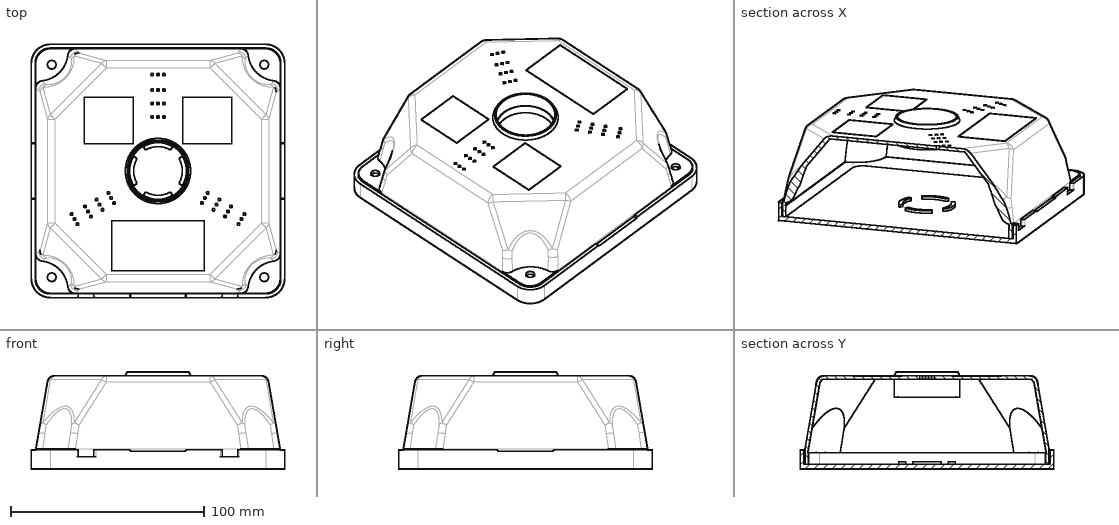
import cadquery as cq
import math

SIDE = 131.2
TRAY_HEIGHT = 10.0
TRAY_CORNER_RADIUS = 10.0
FLOOR_THICKNESS = 2.6
RIM_THICKNESS = 2.0
RIM_DIP_HALF_WIDTH = 14.7
RIM_DIP_DEPTH = 0.7
CLIP_SLOT_OUTER_X = 41.3
CLIP_SLOT_INNER_X = 33.3
CLIP_SLOT_FLOOR_Z = 6.4
CLIP_SLOT_INNER_ROUND = 1.2
CLIP_SLOT_OUTER_ROUND = 0.5
RIB_INNER_RADIUS = 12.6
RIB_OUTER_RADIUS = 14.7
RIB_HALF_ANGLE = 31.0
RIB_HEIGHT = 1.3
RIB_ROUND = 0.7
RIB_COUNT = 4

COVER_GAP = 0.4
COVER_WALL = 2.0
FLANGE_TOP_Z = 10.5
COVER_TOP_Z = 48.4
SIDE_DRAFT = 9.8
CORNER_DRAFT = 29.7
CORNER_TOP_DISTANCE = 59.0
EDGE_RADIUS = 4.0
RECESS_AXIS = 61.5
RECESS_RADIUS = 15.0
SCREW_AXIS = 55.0
SCREW_HOLE_DIAMETER = 4.5

COLLAR_TOP_Z = 50.4
COLLAR_BASE_RADIUS = 16.9
COLLAR_TOP_RADIUS = 16.0
BORE_DIAMETER = 30.0
MOUTH_RADIUS = 15.2
MOUTH_FLOOR_Z = 42.1
TUBE_BOTTOM_Z = 37.3

VENT_DIAMETER = 1.3
VENT_SPACING = 3.0
VENT_RADII = (28.0, 34.9, 41.9, 49.9)
VENT_GROUPS = 3

LABEL_DEPTH = 0.1
SQUARE_LABEL = (25.6, 26.1, 25.3, 24.1)
WIDE_LABEL = (0.0, -38.7, 47.8, 25.7)

HALF_SIDE = SIDE / 2
RIM_INNER_HALF = HALF_SIDE - RIM_THICKNESS
RIM_INNER_RADIUS = TRAY_CORNER_RADIUS - RIM_THICKNESS
COVER_HALF = RIM_INNER_HALF - COVER_GAP
COVER_CORNER_RADIUS = RIM_INNER_RADIUS - COVER_GAP
PLATE_BOTTOM_Z = FLANGE_TOP_Z - COVER_WALL
QUARTER_TURNS = (0, 90, 180, 270)


def rounded_slab(half, corner_radius, bottom_z, top_z):
    """Square plate with rounded vertical edges."""
    slab = cq.Workplane("XY", origin=(0, 0, bottom_z)).rect(2 * half, 2 * half).extrude(top_z - bottom_z)
    return slab.edges("|Z").fillet(corner_radius)


def cylinder(radius, bottom_z, top_z):
    return cq.Workplane("XY", origin=(0, 0, bottom_z)).circle(radius).extrude(top_z - bottom_z)


def cone(bottom_radius, top_radius, bottom_z, top_z):
    """Round frustum about the Z axis."""
    profile = [(0, bottom_z), (bottom_radius, bottom_z), (top_radius, top_z), (0, top_z)]
    return cq.Workplane("XZ").polyline(profile).close().revolve(360, (0, 0), (0, 1))


def square_frustum(bottom_half, top_half, bottom_z, top_z):
    return (
        cq.Workplane("XY", origin=(0, 0, bottom_z))
        .rect(2 * bottom_half, 2 * bottom_half)
        .workplane(offset=top_z - bottom_z)
        .rect(2 * top_half, 2 * top_half)
        .loft(ruled=True)
    )



def rim_dip():
    """Shallow dip with 45 degree ends, across the rim on the -Y side."""
    bottom_half = RIM_DIP_HALF_WIDTH - RIM_DIP_DEPTH
    bottom_z = TRAY_HEIGHT - RIM_DIP_DEPTH
    profile = [
        (-RIM_DIP_HALF_WIDTH, TRAY_HEIGHT),
        (-bottom_half, bottom_z),
        (bottom_half, bottom_z),
        (RIM_DIP_HALF_WIDTH, TRAY_HEIGHT),
    ]
    return cq.Workplane("XZ", origin=(0, -RIM_INNER_HALF, 0)).polyline(profile).close().extrude(RIM_THICKNESS)


def clip_slot():
    """Slot through the -Y rim on the -X half; both ends flare out in a round at the outer face."""
    inner_flare = CLIP_SLOT_INNER_X - CLIP_SLOT_INNER_ROUND
    outer_flare = CLIP_SLOT_OUTER_X + CLIP_SLOT_OUTER_ROUND
    return (
        cq.Workplane("XY", origin=(0, 0, CLIP_SLOT_FLOOR_Z))
        .moveTo(-CLIP_SLOT_OUTER_X, -RIM_INNER_HALF)
        .lineTo(-CLIP_SLOT_INNER_X, -RIM_INNER_HALF)
        .lineTo(-CLIP_SLOT_INNER_X, -HALF_SIDE + CLIP_SLOT_INNER_ROUND)
        .radiusArc((-inner_flare, -HALF_SIDE), -CLIP_SLOT_INNER_ROUND)
        .lineTo(-outer_flare, -HALF_SIDE)
        .radiusArc((-CLIP_SLOT_OUTER_X, -HALF_SIDE + CLIP_SLOT_OUTER_ROUND), -CLIP_SLOT_OUTER_ROUND)
        .close()
        .extrude(TRAY_HEIGHT - CLIP_SLOT_FLOOR_Z)
    )


def floor_rib():
    """Curved rib on the tray floor, centred on the +X axis."""
    top_z = FLOOR_THICKNESS + RIB_HEIGHT
    ring = cylinder(RIB_OUTER_RADIUS, FLOOR_THICKNESS, top_z).cut(
        cylinder(RIB_INNER_RADIUS, FLOOR_THICKNESS, top_z)
    )
    reach = 2 * RIB_OUTER_RADIUS
    spread = reach * math.tan(math.radians(RIB_HALF_ANGLE))
    sector = (
        cq.Workplane("XY", origin=(0, 0, FLOOR_THICKNESS))
        .polyline([(0, 0), (reach, -spread), (reach, spread)])
        .close()
        .extrude(RIB_HEIGHT)
    )
    return ring.intersect(sector).edges("|Z").fillet(RIB_ROUND)


def make_tray():
    tray = rounded_slab(HALF_SIDE, TRAY_CORNER_RADIUS, 0, TRAY_HEIGHT)
    tray = tray.cut(rounded_slab(RIM_INNER_HALF, RIM_INNER_RADIUS, FLOOR_THICKNESS, TRAY_HEIGHT))
    for turn in (-90, 0, 90):
        tray = tray.cut(rim_dip().rotate((0, 0, 0), (0, 0, 1), turn))
    tray = tray.cut(clip_slot()).cut(clip_slot().mirror("YZ"))
    for index in range(RIB_COUNT):
        tray = tray.union(floor_rib().rotate((0, 0, 0), (0, 0, 1), index * 360 / RIB_COUNT))
    return tray



def dome(inset, bottom_z):
    """Drafted square block with sloped corners and a round recess at the foot of each corner.

    Every face lies the distance `inset` inside the outer face of the cover.
    """
    top_z = COVER_TOP_Z - inset
    side_slope = math.tan(math.radians(SIDE_DRAFT))
    side_inset = inset / math.cos(math.radians(SIDE_DRAFT))
    corner_slope = math.tan(math.radians(CORNER_DRAFT))
    corner_inset = inset / math.cos(math.radians(CORNER_DRAFT))

    def side_half(z):
        return COVER_HALF - side_inset - (z - FLANGE_TOP_Z) * side_slope

    def corner_distance(z):
        return CORNER_TOP_DISTANCE - corner_inset + (COVER_TOP_Z - z) * corner_slope

    def recess_radius(z):
        return RECESS_RADIUS + side_inset + (z - FLANGE_TOP_Z) * side_slope

    block = square_frustum(side_half(bottom_z), side_half(top_z), bottom_z, top_z)
    corners = square_frustum(corner_distance(bottom_z), corner_distance(top_z), bottom_z, top_z)
    block = block.intersect(corners.rotate((0, 0, 0), (0, 0, 1), 45))
    recess = cone(recess_radius(bottom_z), recess_radius(top_z), bottom_z, top_z)
    recess = recess.translate((RECESS_AXIS, RECESS_AXIS, 0))
    for turn in QUARTER_TURNS:
        block = block.cut(recess.rotate((0, 0, 0), (0, 0, 1), turn))
    return block


def make_shell():
    """Hollow dome on a square flange that stands on the tray floor."""
    outside = dome(0, FLANGE_TOP_Z).edges("not <Z").fillet(EDGE_RADIUS)
    flange = rounded_slab(COVER_HALF, COVER_CORNER_RADIUS, FLOOR_THICKNESS, FLANGE_TOP_Z)
    skirt_cavity = rounded_slab(
        COVER_HALF - COVER_WALL, COVER_CORNER_RADIUS - COVER_WALL, FLOOR_THICKNESS, PLATE_BOTTOM_Z
    )
    return flange.union(outside).cut(skirt_cavity).cut(dome(COVER_WALL, PLATE_BOTTOM_Z))


def add_collar(cover):
    tube = cylinder(COLLAR_BASE_RADIUS, TUBE_BOTTOM_Z, COVER_TOP_Z)
    collar = cone(COLLAR_BASE_RADIUS, COLLAR_TOP_RADIUS, COVER_TOP_Z, COLLAR_TOP_Z)
    bore = cylinder(BORE_DIAMETER / 2, TUBE_BOTTOM_Z, COLLAR_TOP_Z)
    mouth = cylinder(MOUTH_RADIUS, MOUTH_FLOOR_Z, COLLAR_TOP_Z)
    return cover.union(tube).union(collar).cut(bore).cut(mouth)


def cut_screw_holes(cover):
    hole = cylinder(SCREW_HOLE_DIAMETER / 2, PLATE_BOTTOM_Z, FLANGE_TOP_Z)
    for x in (-SCREW_AXIS, SCREW_AXIS):
        for y in (-SCREW_AXIS, SCREW_AXIS):
            cover = cover.cut(hole.translate((x, y, 0)))
    return cover


def cut_vents(cover):
    centres = [(x, y) for y in VENT_RADII for x in (-VENT_SPACING, 0, VENT_SPACING)]
    group = (
        cq.Workplane("XY", origin=(0, 0, COVER_TOP_Z - COVER_WALL))
        .pushPoints(centres)
        .circle(VENT_DIAMETER / 2)
        .extrude(COVER_WALL)
    )
    for index in range(VENT_GROUPS):
        cover = cover.cut(group.rotate((0, 0, 0), (0, 0, 1), index * 360 / VENT_GROUPS))
    return cover


def label_recess(x, y, width, height):
    return (
        cq.Workplane("XY", origin=(x, y, COVER_TOP_Z - LABEL_DEPTH)).rect(width, height).extrude(LABEL_DEPTH)
    )


def cut_labels(cover):
    square = label_recess(*SQUARE_LABEL)
    return cover.cut(square).cut(square.mirror("YZ")).cut(label_recess(*WIDE_LABEL))


def make_cover():
    cover = add_collar(make_shell())
    cover = cut_screw_holes(cover)
    cover = cut_vents(cover)
    return cut_labels(cover)


tray = make_tray()
cover = make_cover()

result = cq.Compound.makeCompound([tray.val(), cover.val()])